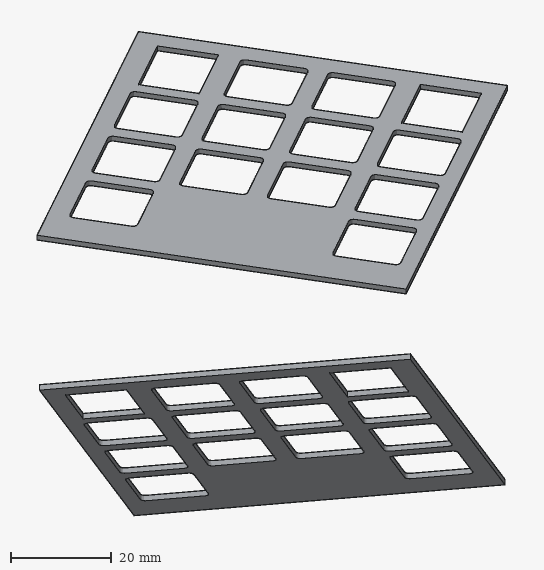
import cadquery as cq

plate_width = 76.1
plate_length = 77.55
plate_thickness = 1.2

column_count = 4
column_pitch = 18.1
row_pitch = 17.0
grid_center_x = 0.4
back_row_inset = 11.5

key_window = 13.95
key_corner_radius = 1.0

corner_window_width = 12.6
corner_window_length = 14.65

last_column = column_count - 1
outer_columns = [0, last_column]
inner_columns = range(1, last_column)
all_columns = range(column_count)
key_columns_by_row = [inner_columns, all_columns, all_columns, outer_columns]


def grid_point(column, row):
    """Centre of the window at a column and row of the grid."""
    x = grid_center_x + (column - last_column / 2) * column_pitch
    y = plate_length / 2 - back_row_inset - row * row_pitch
    return (x, y)


def window_cutters(points, width, length):
    """Sharp-cornered prisms through the plate, one at each point."""
    return cq.Workplane("XY").pushPoints(points).rect(width, length).extrude(plate_thickness)


plate = cq.Workplane("XY").box(plate_width, plate_length, plate_thickness, centered=(True, True, False))

key_points = [
    grid_point(column, row)
    for row, columns in enumerate(key_columns_by_row)
    for column in columns
]
key_cutters = window_cutters(key_points, key_window, key_window).edges("|Z").fillet(key_corner_radius)

corner_points = [grid_point(column, 0) for column in outer_columns]
corner_cutters = window_cutters(corner_points, corner_window_width, corner_window_length)

result = plate.cut(key_cutters).cut(corner_cutters)